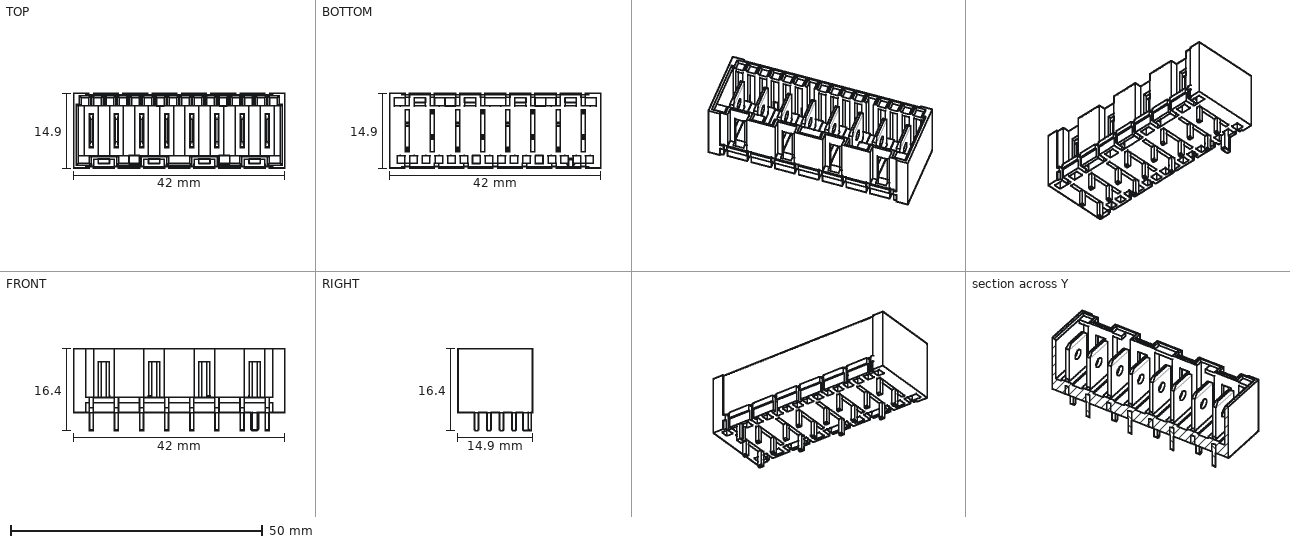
import cadquery as cq
length = 42.0
depth = 14.9
height = 12.75
pin_count = 8
pin_pitch = 5.0
rib_pitch = pin_pitch / 2

panel_inset = 0.3
post_width = 2.45
lip_bottom = 2.0
front_lip_top = 3.05
back_lip_top = 3.3

end_wall = 0.92
front_wall = 0.92
back_wall = 0.92
lead_in = 0.38
block_half_depth = 4.95
floor_height = 3.0
pin_land_height = 3.3
pin_land_width = 2.75

rib_width = 1.0
pocket_count = 16
open_back_pockets = (6, 11)
lid_thickness = 0.85

recess_centers = [pin_pitch * k for k in (-3, -1, 1, 3)]
recess_width = 4.07
recess_depth = 1.8
recess_side_wall = 0.9
recess_lead_in = 0.25
window_width = 2.2
window_top = 10.12

front_slot_width = 0.8
front_slot_depth = 0.8
front_slot_relief_height = 1.0
back_slot_width = 0.92
back_slot_pitch = 5.85
back_slot_count = 7

peg_x = 3 * pin_pitch
peg_front_y = 5.5
peg_head_y = 6.55
peg_tip_y = 7.2
peg_stem_width = 1.0
peg_head_width = 1.6
peg_tip_width = 0.67
peg_front_bevel = 0.25
peg_side_bevel = 0.38

pin_thickness = 0.8
tail_length = 3.6
blade_top = 12.05
blade_half_width = 3.25
shoulder_half_width = 3.4
shoulder_bottom = pin_land_height
shoulder_top = 3.82
blade_end_bevel = 1.0
blade_bevel_height = 0.85
blade_edge_thickness = 0.4
eye_diameter = 2.0
eye_height = 8.05
leg_width = 0.85
leg_bevel = 0.25
outer_leg_y = 3.75
inner_leg_y = 1.25
base_height = 2.0

front_y = -depth / 2
back_y = depth / 2
cavity_half_length = length / 2 - end_wall
cavity_front_y = front_y + front_wall
cavity_back_y = back_y - back_wall
pin_xs = [pin_pitch * (i - (pin_count - 1) / 2) for i in range(pin_count)]
pocket_xs = [rib_pitch * (i - (pocket_count - 1) / 2) for i in range(pocket_count)]
pocket_width = rib_pitch - rib_width
front_pocket_half = pin_pitch - recess_width / 2 - recess_side_wall
end_pocket_inner_x = recess_centers[-1] + recess_width / 2 + recess_side_wall


def block(x0, x1, y0, y1, z0, z1):
    """Box given by its limits along each axis."""
    return cq.Workplane("XY").box(x1 - x0, y1 - y0, z1 - z0, centered=False).translate((x0, y0, z0))


def mouth(x0, x1, y0, y1, drop, grow_x=0, grow_front=0, grow_back=0):
    """Bevelled mouth that starts a given drop below the rim and widens towards it."""
    return (
        cq.Workplane("XY", origin=((x0 + x1) / 2, (y0 + y1) / 2, height - drop))
        .rect(x1 - x0, y1 - y0)
        .workplane(offset=drop)
        .center(0, (grow_back - grow_front) / 2)
        .rect(x1 - x0 + 2 * grow_x, y1 - y0 + grow_front + grow_back)
        .loft(combine=True)
    )


def cut_all(body, cutters):
    """Remove every cutter from the body in one step."""
    return cq.Workplane(body.val().cut(*[cutter.val() for cutter in cutters]))


def join_all(body, pieces):
    """Join every piece to the body in one step."""
    return cq.Workplane(body.val().fuse(*[piece.val() for piece in pieces]).clean())


def front_pocket_spans():
    """X limits of the pockets between the latch recesses, from left to right."""
    spans = [(-cavity_half_length, -end_pocket_inner_x)]
    for k in (-2, 0, 2):
        spans.append((k * pin_pitch - front_pocket_half, k * pin_pitch + front_pocket_half))
    spans.append((end_pocket_inner_x, cavity_half_length))
    return spans


def front_lid_spans():
    """X limits of the lids; the second and fourth pockets are only half covered."""
    left_end, left, middle, right, right_end = front_pocket_spans()
    return [left_end, (left[0], sum(left) / 2), middle, (sum(right) / 2, right[1]), right_end]


def cut_main_cavity(body):
    """Hollow the housing above the floor block and bevel the rim of the hollow."""
    half = cavity_half_length
    y0 = -block_half_depth
    y1 = block_half_depth
    corner_inner_x = pocket_xs[-1] + pocket_width / 2
    return cut_all(body, [
        block(-half, half, y0, y1, floor_height, height),
        mouth(-half, half, y0, y1, lead_in, grow_x=lead_in),
        mouth(-half, half, y0, y1, recess_lead_in, grow_front=recess_lead_in),
        mouth(-half, -corner_inner_x, y0, y1, recess_lead_in, grow_x=lead_in, grow_back=recess_lead_in),
        mouth(corner_inner_x, half, y0, y1, recess_lead_in, grow_x=lead_in, grow_back=recess_lead_in),
    ])


def cut_pockets(body):
    """Bevelled pockets that run through the housing in front of and behind the floor block."""
    cutters = []
    for x0, x1 in front_pocket_spans():
        cutters.append(block(x0, x1, cavity_front_y, -block_half_depth, 0, height))
        cutters.append(
            mouth(x0, x1, cavity_front_y, -block_half_depth, lead_in, grow_x=lead_in, grow_front=lead_in)
        )
    for x in pocket_xs:
        x0 = x - pocket_width / 2
        x1 = x + pocket_width / 2
        cutters.append(block(x0, x1, block_half_depth, cavity_back_y, 0, height))
        cutters.append(
            mouth(x0, x1, block_half_depth, cavity_back_y, lead_in, grow_x=lead_in, grow_back=lead_in)
        )
    return cut_all(body, cutters)


def add_lids(body):
    """Covers that close all but the open coding pockets."""
    lid_top = height - lead_in
    lid_bottom = lid_top - lid_thickness
    lids = [
        block(x0, x1, cavity_front_y, -block_half_depth, lid_bottom, lid_top)
        for x0, x1 in front_lid_spans()
    ]
    half = pocket_width / 2
    for i, x in enumerate(pocket_xs):
        if i not in open_back_pockets:
            lids.append(block(x - half, x + half, block_half_depth, cavity_back_y, lid_bottom, lid_top))
    return join_all(body, lids)


def add_pin_lands(body):
    """Raised strips of floor, one around each pin."""
    half = pin_land_width / 2
    return join_all(body, [
        block(x - half, x + half, -block_half_depth, block_half_depth, floor_height, pin_land_height)
        for x in pin_xs
    ])


def cut_outer_panels(body):
    """Set the long faces back above and below their lips."""
    half = length / 2 - post_width
    cutters = []
    for y0, lip_top in ((front_y, front_lip_top), (back_y - panel_inset, back_lip_top)):
        cutters.append(block(-half, half, y0, y0 + panel_inset, lip_top, height))
        cutters.append(block(-half, half, y0, y0 + panel_inset, 0, lip_bottom))
    return cut_all(body, cutters)


def cut_latch_recesses(body):
    """Open recesses behind the front lip, each with a tall window into the cavity."""
    half_recess = recess_width / 2
    half_window = window_width / 2
    y0 = front_y + panel_inset
    y1 = front_y + recess_depth
    cutters = []
    for x in recess_centers:
        cutters.append(block(x - half_recess, x + half_recess, y0, y1, floor_height, height))
        cutters.append(
            block(x - half_window, x + half_window, cavity_front_y, -block_half_depth, 0, window_top)
        )
    return cut_all(body, cutters)


def cut_lip_slots(body):
    """Upright slots that divide the front and back lips."""
    cutters = []
    half = front_slot_width / 2
    for x in pin_xs:
        y1 = front_y + front_slot_depth
        cutters.append(block(x - half, x + half, front_y, y1, 0, front_lip_top))
        cutters.append(block(x - half, x + half, y1, -block_half_depth, 0, front_slot_relief_height))
    half = back_slot_width / 2
    for i in range(back_slot_count):
        x = back_slot_pitch * (i - (back_slot_count - 1) / 2)
        cutters.append(block(x - half, x + half, cavity_back_y, back_y, 0, back_lip_top))
    return cut_all(body, cutters)


def make_peg():
    """Arrow-shaped locating peg with a bevelled foot."""
    stem = peg_stem_width / 2
    head = peg_head_width / 2
    tip = peg_tip_width / 2
    arrow = (
        cq.Workplane("XY")
        .polyline([
            (-stem, peg_front_y), (stem, peg_front_y), (stem, peg_head_y), (head, peg_head_y),
            (tip, peg_tip_y), (-tip, peg_tip_y), (-head, peg_head_y), (-stem, peg_head_y),
        ])
        .close()
        .extrude(-tail_length)
        .faces("<Y").edges("<Z").chamfer(peg_front_bevel)
    )
    bevelled_foot = (
        block(-head, head, peg_front_y, peg_tip_y, -tail_length, 0)
        .edges("|Y and <Z").chamfer(peg_side_bevel)
    )
    return arrow.intersect(bevelled_foot).translate((peg_x, 0, 0))


def make_blade():
    """Contact blade with a bevelled top, an eye and a base bar seated in the housing."""
    half = pin_thickness / 2
    bevel_start = blade_top - blade_bevel_height
    base_half = outer_leg_y + leg_width / 2
    shank = block(-half, half, -blade_half_width, blade_half_width, shoulder_top, bevel_start)
    tip = (
        cq.Workplane("XY", origin=(0, 0, bevel_start))
        .rect(pin_thickness, 2 * blade_half_width)
        .workplane(offset=blade_bevel_height)
        .rect(blade_edge_thickness, 2 * (blade_half_width - blade_end_bevel))
        .loft(combine=True)
    )
    lower = (
        cq.Workplane("YZ", origin=(-half, 0, 0))
        .polyline([
            (-base_half, 0), (base_half, 0), (base_half, base_height),
            (shoulder_half_width, base_height), (shoulder_half_width, shoulder_bottom),
            (blade_half_width, shoulder_top), (-blade_half_width, shoulder_top),
            (-shoulder_half_width, shoulder_bottom), (-shoulder_half_width, base_height),
            (-base_half, base_height),
        ])
        .close()
        .extrude(pin_thickness)
    )
    eye = (
        cq.Workplane("YZ", origin=(-half, 0, 0))
        .center(0, eye_height)
        .circle(eye_diameter / 2)
        .extrude(pin_thickness)
    )
    return lower.union(shank).union(tip).cut(eye)


def make_pin(x, turn):
    """Pin with two solder legs; turn is +1 or -1 and mirrors the legs front to back."""
    half = pin_thickness / 2
    pin = make_blade()
    for y in (turn * outer_leg_y, -turn * inner_leg_y):
        leg = (
            block(-half, half, y - leg_width / 2, y + leg_width / 2, -tail_length, 0)
            .edges("|X and <Z").chamfer(leg_bevel)
        )
        pin = pin.union(leg)
    return pin.translate((x, 0, 0))


def make_housing(pins):
    """Open-topped housing with a matching seat for every pin."""
    body = block(-length / 2, length / 2, front_y, back_y, 0, height)
    body = cut_main_cavity(body)
    body = cut_pockets(body)
    body = add_pin_lands(body)
    body = add_lids(body)
    body = cut_outer_panels(body)
    body = cut_latch_recesses(body)
    body = cut_lip_slots(body)
    body = join_all(body, [make_peg()])
    return cut_all(body, pins)


pins = [make_pin(x, (-1) ** i) for i, x in enumerate(pin_xs)]
housing = make_housing(pins)

result = cq.Compound.makeCompound([*housing.solids().vals(), *[pin.val() for pin in pins]])